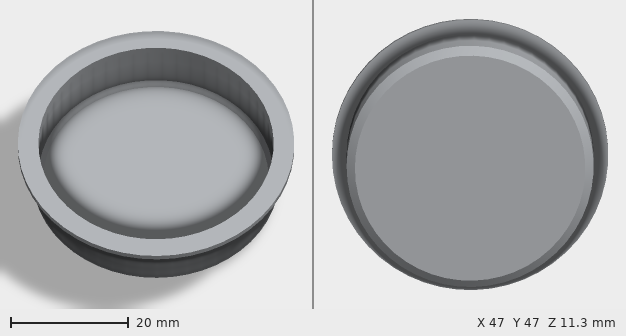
import math

import cadquery as cq

flange_diameter = 47.0
cup_diameter = 42.0
total_height = 11.3
flange_thickness = 1.0
wall_thickness = 1.0
bevel_length = 2.0

flange_radius = flange_diameter / 2
cup_radius = cup_diameter / 2
bore_radius = cup_radius - wall_thickness
flange_underside = total_height - flange_thickness
outer_bevel = bevel_length / math.sqrt(2)
inner_bevel = outer_bevel - (2 - math.sqrt(2)) * wall_thickness


def make_half_section():
    """Half section in the XZ plane: out along the bottom, over the rim, back along the floor."""
    return (
        cq.Workplane("XZ")
        .moveTo(0, 0)
        .lineTo(cup_radius - outer_bevel, 0)
        .lineTo(cup_radius, outer_bevel)
        .lineTo(cup_radius, flange_underside)
        .lineTo(flange_radius, flange_underside)
        .lineTo(flange_radius, total_height)
        .lineTo(bore_radius, total_height)
        .lineTo(bore_radius, wall_thickness + inner_bevel)
        .lineTo(bore_radius - inner_bevel, wall_thickness)
        .lineTo(0, wall_thickness)
        .close()
    )


result = make_half_section().revolve(360, (0, 0), (0, 1))